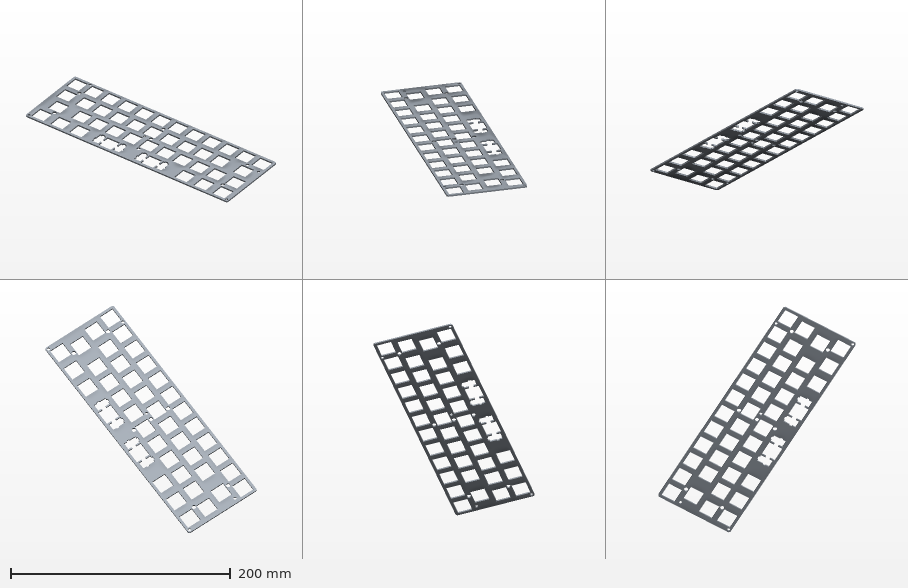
import cadquery as cq

KEY_COLUMNS = 12
KEY_ROWS = 4
LENGTH = 228.5
PITCH = LENGTH / KEY_COLUMNS
WIDTH = KEY_ROWS * PITCH
THICKNESS = 1.5
CORNER_RADIUS = 2.0

SWITCH_SIZE = 14.0

STAB_OFFSET = 12.0
STAB_WIDTH = 6.9
STAB_TOP = 6.9
STAB_BOTTOM = -5.7
STAB_TAB_WIDTH = 3.2
STAB_TAB_TOP = 8.0
STAB_EAR_DEPTH = 1.0
STAB_EAR_TOP = 0.5
STAB_EAR_BOTTOM = -2.3
WIRE_SLOT_HEIGHT = 4.5

MOUNT_DIAMETER = 4.0
MOUNT_COLUMNS = (1, 6, 11)
MOUNT_ROWS = (1, 3)
SMALL_DIAMETER = 2.7
EDGE_INSET = 2.5
SIDE_HOLE_INSET = 4.8
SIDE_HOLE_DROP = 21.5
CENTER_HOLE_X = 107.2

UNIT_KEYS = (1,) * (KEY_COLUMNS - 3)

ROW_KEY_WIDTHS = (
    (1.25, 1, 1.25, 2.25, 2.75, 1.25, 1, 1.25),
    (1.75, *UNIT_KEYS, 1.25),
    (1.25, *UNIT_KEYS, 1.75),
    (1,) * KEY_COLUMNS,
)
STABILIZED_KEY_WIDTH = 2


def key_centers():
    """List every key as its center x, center y and width in pitches."""
    keys = []
    for row, widths in enumerate(ROW_KEY_WIDTHS):
        left = 0
        for width in widths:
            keys.append(((left + width / 2) * PITCH, (row + 0.5) * PITCH, width))
            left += width
    return keys


def cut_block(left, right, bottom, top):
    """Rectangular cutter through the full plate thickness."""
    block = cq.Workplane("XY").box(right - left, top - bottom, THICKNESS, centered=False)
    return block.translate((left, bottom, 0))


def stabilizer_cutter():
    """Pair of stabilizer openings and the wire slot joining them, around a key center."""
    half = STAB_WIDTH / 2
    tab_half = STAB_TAB_WIDTH / 2
    ear = STAB_OFFSET + half + STAB_EAR_DEPTH
    slot_half = WIRE_SLOT_HEIGHT / 2
    cutter = cut_block(-STAB_OFFSET, STAB_OFFSET, -slot_half, slot_half)
    for side in (-1, 1):
        center = side * STAB_OFFSET
        ear_left, ear_right = sorted((center, side * ear))
        cutter = cutter.union(cut_block(center - half, center + half, STAB_BOTTOM, STAB_TOP))
        cutter = cutter.union(cut_block(center - tab_half, center + tab_half, 0, STAB_TAB_TOP))
        cutter = cutter.union(cut_block(ear_left, ear_right, STAB_EAR_BOTTOM, STAB_EAR_TOP))
    return cutter


def cut_holes(plate, diameter, centers):
    """Drill round through holes at the given points."""
    drills = cq.Workplane("XY").pushPoints(centers).circle(diameter / 2).extrude(THICKNESS)
    return plate.cut(drills)


result = cut_block(0, LENGTH, 0, WIDTH).edges("|Z").fillet(CORNER_RADIUS)

keys = key_centers()
switch_centers = [(x, y) for x, y, width in keys]
switches = cq.Workplane("XY").pushPoints(switch_centers).rect(SWITCH_SIZE, SWITCH_SIZE)
result = result.cut(switches.extrude(THICKNESS))

for x, y, width in keys:
    if width >= STABILIZED_KEY_WIDTH:
        result = result.cut(stabilizer_cutter().translate((x, y, 0)))

mount_centers = [(column * PITCH, row * PITCH) for column in MOUNT_COLUMNS for row in MOUNT_ROWS]
mount_centers.append((LENGTH / 2, WIDTH / 2))
result = cut_holes(result, MOUNT_DIAMETER, mount_centers)

small_centers = [
    (EDGE_INSET, EDGE_INSET),
    (LENGTH - EDGE_INSET, EDGE_INSET),
    (PITCH, WIDTH - EDGE_INSET),
    (LENGTH - SIDE_HOLE_INSET, WIDTH - SIDE_HOLE_DROP),
    (CENTER_HOLE_X, WIDTH / 2),
]
result = cut_holes(result, SMALL_DIAMETER, small_centers)